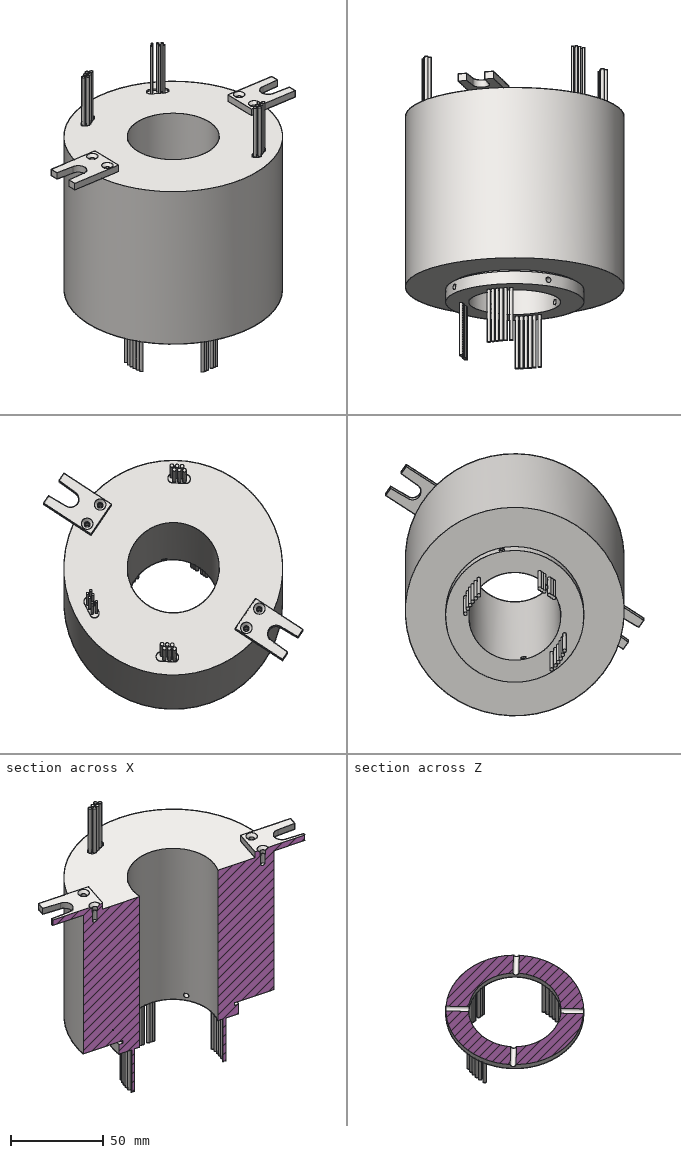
import cadquery as cq
import math

body_radius = 59.5
body_height = 96.0
bore_radius = 25.0

neck_radius = 35.1
neck_height = 1.5
collar_radius = 37.6
collar_height = 7.0
collar_bottom = -(neck_height + collar_height)

screw_hole_diameter = 3.0
collar_hole_angles = (45, 135, 225, 315)

bracket_width = 20.0
bracket_thickness = 4.1
bracket_span = 156.0
bracket_outer_y = bracket_span / 2
bracket_inner_y = 47.0
fork_end_y = 62.6
fork_root_radius = 4.5
fork_mouth_width = 10.1
bracket_hole_x = 6.4
bracket_hole_y = 52.0
countersink_diameter = 6.2
countersink_angle = 90
tapped_hole_diameter = 2.5
screw_hole_depth = 6.5
drill_point_angle = 118

outlet_circle_radius = 49.5
outlet_length = 12.3
outlet_width = 5.0
outlet_depth = 1.0

wire_length = 29.4
wire_diameter = 2.0
wire_anchor = 1.6

thick_outlet_angles = (30, 210)
wires_per_row = 3
wire_pitch = 2.8
row_spacing = 2.1
row_stagger = wire_pitch / 2
bundle_shift = 0.5

thin_outlet_angle = 150
thin_wire_diameter = 1.3
thin_row_radial = 1.1
thin_outer_row = (-2.6, -0.2, 3.0)
thin_inner_row = (-3.3, -0.8, 3.6)

lower_wire_radius = 29.0
end_group_x = (-6.0, -3.0, -0.57, 1.8, 4.2, 6.7)
side_row_x = 28.5
side_triple_centers = (-1.5, 4.9)
side_wire_pitch = 1.5


def cylinder(radius, bottom, top, x=0, y=0):
    return cq.Workplane("XY", origin=(x, y, bottom)).circle(radius).extrude(top - bottom)


def outlet_cut(angle):
    """Shallow oblong pocket whose long side runs along the tangent."""
    slot = (
        cq.Workplane("XY", origin=(0, 0, body_height - outlet_depth))
        .center(outlet_circle_radius, 0)
        .slot2D(outlet_length, outlet_width, 90)
        .extrude(outlet_depth)
    )
    return slot.rotate((0, 0, 0), (0, 0, 1), angle)


def upper_wires(angle, positions, diameter):
    """Wires in one outlet; positions are (radial, tangential) from its centre."""
    bottom = body_height - outlet_depth - wire_anchor
    wires = (
        cq.Workplane("XY", origin=(outlet_circle_radius, 0, bottom))
        .pushPoints(positions)
        .circle(diameter / 2)
        .extrude(body_height + wire_length - bottom)
    )
    return wires.rotate((0, 0, 0), (0, 0, 1), angle)


def thick_wire_positions():
    positions = []
    for row in (-0.5, 0.5):
        for column in range(wires_per_row):
            along = (column - (wires_per_row - 1) / 2) * wire_pitch
            positions.append((row * row_spacing, bundle_shift + along + row * row_stagger))
    return positions


def bracket():
    """Plate on the +Y side with a fork opening outwards, flaring to its mouth."""
    root_y = fork_end_y + fork_root_radius
    return (
        cq.Workplane("XY", origin=(0, 0, body_height))
        .moveTo(-bracket_width / 2, bracket_inner_y)
        .lineTo(bracket_width / 2, bracket_inner_y)
        .lineTo(bracket_width / 2, bracket_outer_y)
        .lineTo(fork_mouth_width / 2, bracket_outer_y)
        .lineTo(fork_root_radius, root_y)
        .threePointArc((0, fork_end_y), (-fork_root_radius, root_y))
        .lineTo(-fork_mouth_width / 2, bracket_outer_y)
        .lineTo(-bracket_width / 2, bracket_outer_y)
        .close()
        .extrude(bracket_thickness)
    )


def bracket_hole(x):
    """Countersunk hole in the bracket over a tapped hole with a drill point."""
    top = body_height + bracket_thickness
    bottom = body_height - screw_hole_depth
    hole_radius = screw_hole_diameter / 2
    tapped_radius = tapped_hole_diameter / 2
    sink_radius = countersink_diameter / 2
    sink_depth = (sink_radius - hole_radius) / math.tan(math.radians(countersink_angle / 2))
    point_depth = tapped_radius / math.tan(math.radians(drill_point_angle / 2))
    profile = (
        cq.Workplane("XZ")
        .moveTo(0, top)
        .lineTo(sink_radius, top)
        .lineTo(hole_radius, top - sink_depth)
        .lineTo(hole_radius, body_height)
        .lineTo(tapped_radius, body_height)
        .lineTo(tapped_radius, bottom)
        .lineTo(0, bottom - point_depth)
        .close()
    )
    return profile.revolve(360, (0, 0, 0), (0, 1, 0)).translate((x, bracket_hole_y, 0))


def collar_hole(angle):
    """Radial hole from the axis out to the rim, halfway up the collar."""
    hole = (
        cq.Workplane("YZ")
        .center(0, collar_bottom + collar_height / 2)
        .circle(screw_hole_diameter / 2)
        .extrude(collar_radius)
    )
    return hole.rotate((0, 0, 0), (0, 0, 1), angle)


def lower_wire(x, y):
    bottom = collar_bottom - wire_length
    return cylinder(wire_diameter / 2, bottom, collar_bottom + wire_anchor, x, y)


result = cylinder(body_radius, 0, body_height)
result = result.union(cylinder(neck_radius, -neck_height, 0))
result = result.union(cylinder(collar_radius, collar_bottom, -neck_height))
result = result.cut(cylinder(bore_radius, collar_bottom, body_height))
for hole_angle in collar_hole_angles:
    result = result.cut(collar_hole(hole_angle))

for side_angle in (0, 180):
    result = result.union(bracket().rotate((0, 0, 0), (0, 0, 1), side_angle))
    for hole_x in (-bracket_hole_x, bracket_hole_x):
        result = result.cut(bracket_hole(hole_x).rotate((0, 0, 0), (0, 0, 1), side_angle))

for outlet_angle in thick_outlet_angles:
    result = result.cut(outlet_cut(outlet_angle))
    result = result.union(upper_wires(outlet_angle, thick_wire_positions(), wire_diameter))
thin_positions = [(thin_row_radial, along) for along in thin_outer_row]
thin_positions += [(-thin_row_radial, along) for along in thin_inner_row]
result = result.cut(outlet_cut(thin_outlet_angle))
result = result.union(upper_wires(thin_outlet_angle, thin_positions, thin_wire_diameter))

for wire_x in end_group_x:
    wire_y = math.sqrt(lower_wire_radius**2 - wire_x**2)
    result = result.union(lower_wire(wire_x, wire_y))
    result = result.union(lower_wire(wire_x, -wire_y))
for triple_center in side_triple_centers:
    for step in (-1, 0, 1):
        wire_y = triple_center + step * side_wire_pitch
        result = result.union(lower_wire(side_row_x, wire_y))